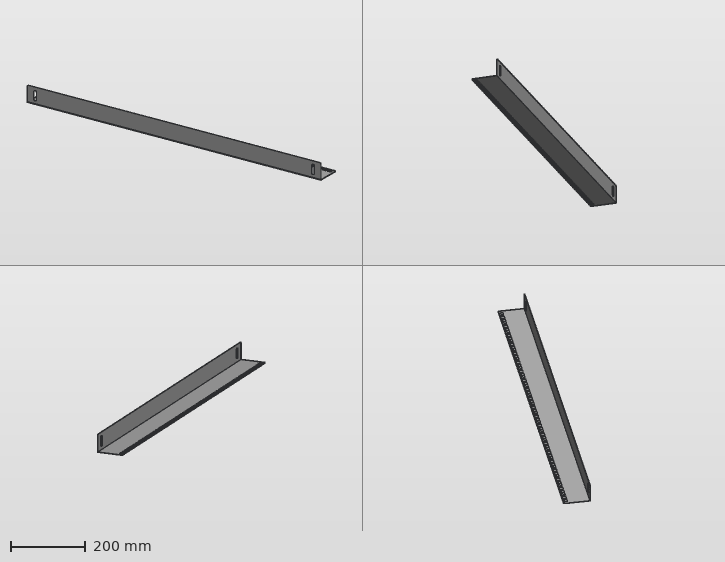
import cadquery as cq

LENGTH = 950.0
DEPTH = 73.0
HEIGHT = 50.0
THICKNESS = 1.7
CORNER_RADIUS = 5.0

RACK_UNITS = 21
RACK_LENGTH = 934.0
UNIT_PITCH = RACK_LENGTH / RACK_UNITS
HOLE_GAP = UNIT_PITCH * 5 / 14
HOLE_SIZE = 9.5
HOLE_EDGE_DISTANCE = 8.0

SLOT_WIDTH = 9.0
SLOT_LENGTH = 29.0
SLOT_END_DISTANCE = 26.0


def make_flanges():
    """L-shaped sheet: flat base flange with an upright flange along its front edge."""
    base = (
        cq.Workplane("XY")
        .box(LENGTH, DEPTH, THICKNESS, centered=(True, False, False))
        .edges("|Z and >Y")
        .fillet(CORNER_RADIUS)
    )
    upright = (
        cq.Workplane("XY")
        .box(LENGTH, THICKNESS, HEIGHT, centered=(True, False, False))
        .edges("|Y and >Z")
        .fillet(CORNER_RADIUS)
    )
    return base.union(upright)


def make_rack_holes():
    """Square hole cutters along the rear edge of the base flange."""
    first_unit_x = (UNIT_PITCH - RACK_LENGTH) / 2
    hole_y = DEPTH - HOLE_EDGE_DISTANCE
    centres = [
        (first_unit_x + unit * UNIT_PITCH + step * HOLE_GAP, hole_y)
        for unit in range(RACK_UNITS)
        for step in (-1, 0, 1)
    ]
    return cq.Workplane("XY").pushPoints(centres).rect(HOLE_SIZE, HOLE_SIZE).extrude(THICKNESS)


def make_mounting_slots():
    """Vertical round-ended slot cutters near both ends of the upright flange."""
    slot_x = LENGTH / 2 - SLOT_END_DISTANCE
    slot_z = HEIGHT / 2
    return (
        cq.Workplane("XZ")
        .pushPoints([(-slot_x, slot_z), (slot_x, slot_z)])
        .slot2D(SLOT_LENGTH, SLOT_WIDTH, angle=90)
        .extrude(-THICKNESS)
    )


result = make_flanges().cut(make_rack_holes()).cut(make_mounting_slots())